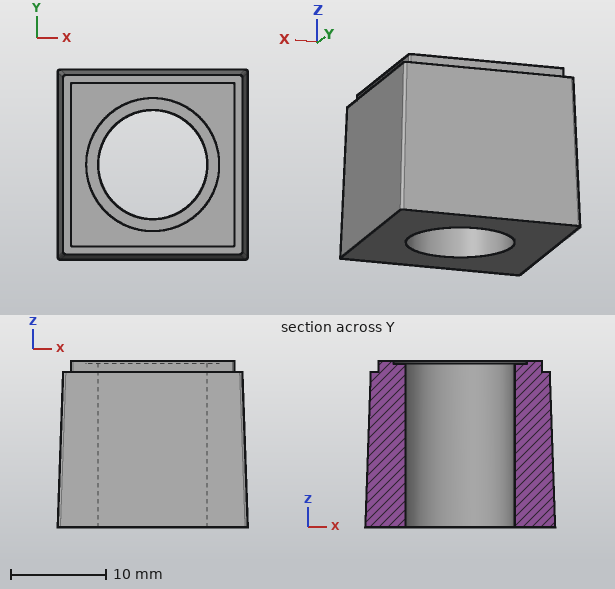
import cadquery as cq

base_width = 20.0
total_height = 17.5
draft_angle = 2.0
body_corner_radius = 0.3

step_width = 17.2
step_height = 1.15
step_corner_radius = 0.2
body_height = total_height - step_height

bore_diameter = 11.45
counterbore_diameter = 14.0
counterbore_depth = 0.3


def tapered_body():
    """Square body narrowing upward, with rounded corner edges."""
    body = cq.Workplane("XY").rect(base_width, base_width).extrude(body_height, taper=draft_angle)
    return body.edges("not(#Z)").fillet(body_corner_radius)


def top_step():
    """Straight-sided square step standing on the body."""
    step = cq.Workplane("XY").workplane(offset=body_height).rect(step_width, step_width).extrude(step_height)
    return step.edges("|Z").fillet(step_corner_radius)


block = tapered_body().union(top_step())
result = block.faces(">Z").workplane().cboreHole(bore_diameter, counterbore_diameter, counterbore_depth)